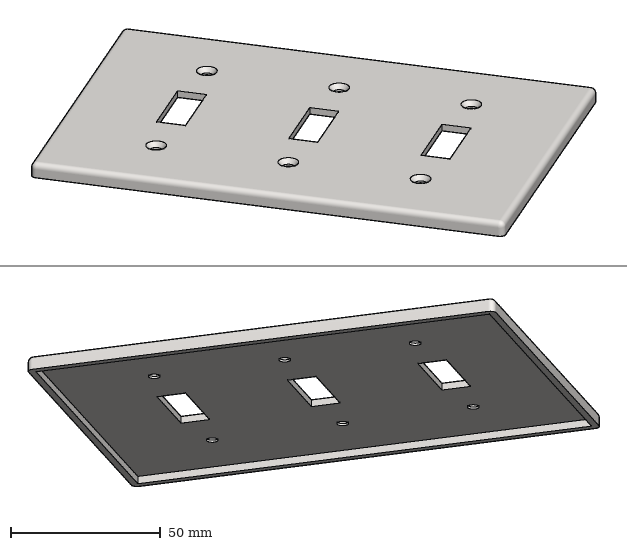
import cadquery as cq

length = 165.1
width = 110.8
thickness = 5.1
edge_radius = 2.0
wall_thickness = 2.5

gang_count = 3
gang_spacing = 46.0
slot_length_x = 10.0
slot_length_y = 25.0
screw_spacing = 60.3
screw_diameter = 4.0
countersink_diameter = 7.0
countersink_angle = 82.0


def rounded_plate():
    """Plate resting on Z = 0 with its top and upright edges rounded."""
    plate = cq.Workplane("XY").box(length, width, thickness, centered=(True, True, False))
    return plate.edges("|Z or >Z").fillet(edge_radius)


def hollow_underside(plate):
    """Open the underside, leaving a constant face and rim thickness."""
    recess = cq.Workplane("XY").box(
        length - 2 * wall_thickness,
        width - 2 * wall_thickness,
        thickness - wall_thickness,
        centered=(True, True, False),
    )
    return plate.cut(recess)


def cut_switch_openings(plate):
    return (
        plate.faces(">Z").workplane(origin=(0, 0, thickness))
        .rarray(gang_spacing, 1.7, gang_count, 1)
        .rect(slot_length_x, slot_length_y)
        .cutThruAll()
    )


def cut_screw_holes(plate):
    return (
        plate.faces(">Z").workplane(origin=(0, 0, thickness))
        .rarray(gang_spacing, screw_spacing, gang_count, 2)
        .cskHole(screw_diameter, countersink_diameter, countersink_angle)
    )


plate = hollow_underside(rounded_plate())
plate = cut_switch_openings(plate)
result = cut_screw_holes(plate)